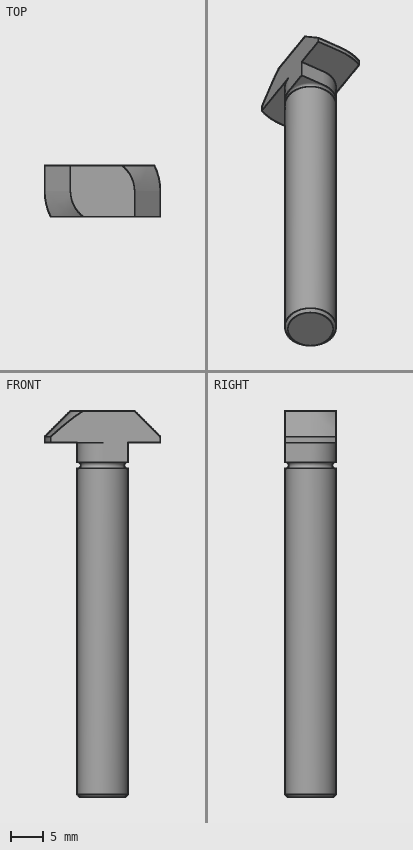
import cadquery as cq

total_height = 60.0
shank_diameter = 8.0
head_length = 18.0
head_width = shank_diameter

head_height = 4.9
rim_height = 0.9
neck_height = 3.05

groove_width = 0.95
groove_depth = 0.6

chamfer_end_diameter = 7.0
shank_radius = shank_diameter / 2
chamfer = (shank_diameter - chamfer_end_diameter) / 2

head_radius = head_length / 2
head_slope = head_height - rim_height
head_bottom = total_height - head_height
neck_bottom = head_bottom - neck_height
shank_top = neck_bottom - groove_width


def revolve_profile(points):
    """Turn an (r, z) outline a full circle about the Z axis."""
    return cq.Workplane("XZ").polyline(points).close().revolve(360, (0, 0), (0, 1))


def square_quadrants(bottom, height):
    """Blocks over the two opposite quadrants where the head and neck keep square corners."""
    blocks = cq.Workplane("XY")
    for side in (-1, 1):
        center = (side * head_length / 4, -side * head_width / 4)
        block = (
            cq.Workplane("XY", origin=(0, 0, bottom))
            .center(*center)
            .rect(head_length / 2, head_width / 2)
            .extrude(height)
        )
        blocks = blocks.add(block)
    return blocks.combine()


def make_shank():
    """Plain round shank with a chamfered end and a round-bottomed groove below the neck."""
    wall_radius = shank_radius - groove_depth + groove_width / 2
    groove_middle = shank_top + groove_width / 2
    return (
        cq.Workplane("XZ")
        .lineTo(shank_radius - chamfer, 0)
        .lineTo(shank_radius, chamfer)
        .lineTo(shank_radius, shank_top)
        .lineTo(wall_radius, shank_top)
        .threePointArc((shank_radius - groove_depth, groove_middle), (wall_radius, neck_bottom))
        .lineTo(shank_radius, neck_bottom)
        .lineTo(0, neck_bottom)
        .close()
        .revolve(360, (0, 0), (0, 1))
    )


def make_neck():
    """Round neck with two opposite corners filled out to a square."""
    square = cq.Workplane("XY", origin=(0, 0, neck_bottom)).rect(shank_diameter, shank_diameter)
    square_corners = square.extrude(neck_height).intersect(square_quadrants(neck_bottom, neck_height))
    cylinder = cq.Workplane("XY", origin=(0, 0, neck_bottom)).circle(shank_radius).extrude(neck_height)
    return cylinder.union(square_corners)


def make_head():
    """Sloped bar whose other two corners are rounded by a cone about the shank axis."""
    bar = (
        cq.Workplane("XZ")
        .polyline([
            (-head_radius, head_bottom),
            (head_radius, head_bottom),
            (head_radius, head_bottom + rim_height),
            (head_radius - head_slope, total_height),
            (-head_radius + head_slope, total_height),
            (-head_radius, head_bottom + rim_height),
        ])
        .close()
        .extrude(head_width / 2, both=True)
    )
    cone = revolve_profile([
        (0, head_bottom),
        (head_radius, head_bottom),
        (head_radius, head_bottom + rim_height),
        (head_radius - head_slope, total_height),
        (0, total_height),
    ])
    square_corners = bar.intersect(square_quadrants(head_bottom, head_height))
    return bar.intersect(cone).union(square_corners)


result = make_shank().union(make_neck()).union(make_head())